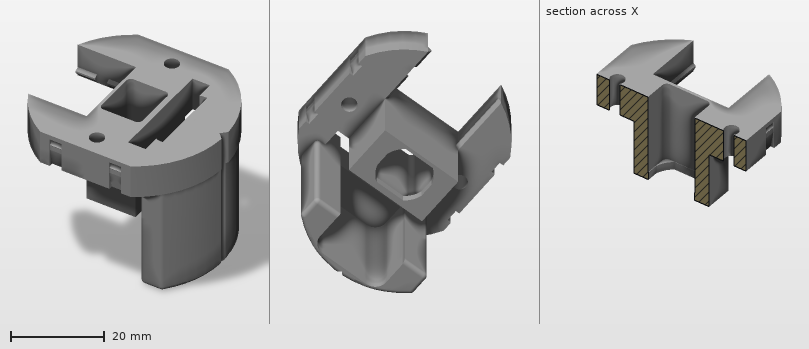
import cadquery as cq
import math

plate_radius = 22.835
plate_width = 39.6
plate_thickness = 8.3
screw_hole_diameter = 3.5
screw_hole_offset = 15.1

opening_half_width = 10.0
opening_end_x = -5.85
opening_mouth_x = -math.sqrt(plate_radius ** 2 - opening_half_width ** 2)

block_right_x = 6.5
block_drop = 14.0
pocket_length = 10.3
pocket_width = 12.25
pocket_corner_radius = 1.15
pocket_floor = 2.0
window_radius = 6.25
window_rim = 0.1

overall_height = 34.85
leg_drop = overall_height - plate_thickness
leg_left_x = 10.9
leg_radius = 22.38
leg_width = 30.6
leg_edge_radius = 1.0

recess_front_x = 9.1
recess_back_x = 20.5
recess_width = 18.0
recess_corner_radius = 3.0

slot_width = 26.0
slot_step_x = 12.7

notch_tip_x = 21.4

groove_inner_x = 6.0
groove_width = 3.0
groove_top_drop = 1.15
groove_mid_drop = 1.9
groove_mid_depth = 0.6
hollow_end_drop = 2.75
hollow_end_depth = 0.15
lip_top_drop = 2.9
lip_bottom_drop = 4.1
lip_depth = 0.2
groove_bottom_depth = 0.95

ridge_top_z = 2.25
ridge_peak_top_z = 1.75
ridge_peak_bottom_z = 1.3
ridge_bottom_z = 0.2
ridge_height_front = 0.6
ridge_height_back = 0.9
ridge_gap_start_x = -15.65
ridge_gap_end_x = -12.65


def box(x_min, x_max, width, z_min, z_max):
    """Box centred on the XZ plane."""
    size_x = x_max - x_min
    size_z = z_max - z_min
    return (
        cq.Workplane("XY")
        .box(size_x, width, size_z, centered=(False, True, False))
        .translate((x_min, 0, z_min))
    )


def make_recess(z_min, z_max):
    recess = box(recess_front_x, recess_back_x, recess_width, z_min, z_max)
    return recess.edges("|Z").fillet(recess_corner_radius)


def make_plate():
    disc = cq.Workplane("XY").circle(plate_radius).extrude(plate_thickness)
    plate = disc.intersect(box(-plate_radius, plate_radius, plate_width, 0, plate_thickness))
    screw_holes = (
        cq.Workplane("XY")
        .pushPoints([(0, screw_hole_offset), (0, -screw_hole_offset)])
        .circle(screw_hole_diameter / 2)
        .extrude(plate_thickness)
    )
    opening = box(-plate_radius, opening_end_x, 2 * opening_half_width, 0, plate_thickness)
    slot = box(block_right_x, leg_left_x, slot_width, 0, plate_thickness)
    slot_step = make_recess(0, plate_thickness)
    slot_step = slot_step.intersect(box(leg_left_x, slot_step_x, recess_width, 0, plate_thickness))
    return plate.cut(screw_holes).cut(opening).cut(slot).cut(slot_step)


def make_block():
    return box(opening_end_x, block_right_x, 2 * opening_half_width, -block_drop, 0)


def make_pocket():
    """Rounded pocket from the plate top, with the window through its floor."""
    floor_z = -block_drop + pocket_floor
    half_length = pocket_length / 2
    pocket = box(-half_length, half_length, pocket_width, floor_z, plate_thickness)
    pocket = pocket.edges("|Z").fillet(pocket_corner_radius)
    window = cq.Workplane("XY").workplane(offset=-block_drop).circle(window_radius).extrude(pocket_floor)
    window_half_length = half_length - window_rim
    window_width = pocket_width - 2 * window_rim
    window_limit = box(-window_half_length, window_half_length, window_width, -block_drop, floor_z)
    window = window.intersect(window_limit)
    return pocket.union(window)


def make_leg():
    leg = cq.Workplane("XY").workplane(offset=-leg_drop).circle(leg_radius).extrude(leg_drop)
    leg = leg.intersect(box(leg_left_x, leg_radius, leg_width, -leg_drop, 0))
    leg = leg.edges("|Z").fillet(leg_edge_radius)
    leg = leg.faces("<Z").edges().fillet(leg_edge_radius)
    return leg.cut(make_recess(-leg_drop, 0))


def make_notch():
    """Right-angled V through the whole height of plate and leg."""
    reach = plate_radius - notch_tip_x
    return (
        cq.Workplane("XY")
        .workplane(offset=-leg_drop)
        .moveTo(notch_tip_x, 0)
        .lineTo(notch_tip_x + reach, reach)
        .lineTo(notch_tip_x + reach, -reach)
        .close()
        .extrude(overall_height)
    )


def make_groove(x_start):
    """Snap groove in the -Y flat: a round hollow, a lip, then a ramp that deepens downward."""
    flat_y = -plate_width / 2
    return (
        cq.Workplane("YZ")
        .workplane(offset=x_start)
        .moveTo(flat_y, plate_thickness - groove_top_drop)
        .threePointArc(
            (flat_y + groove_mid_depth, plate_thickness - groove_mid_drop),
            (flat_y + hollow_end_depth, plate_thickness - hollow_end_drop),
        )
        .lineTo(flat_y + lip_depth, plate_thickness - lip_top_drop)
        .lineTo(flat_y + lip_depth, plate_thickness - lip_bottom_drop)
        .lineTo(flat_y + groove_bottom_depth, 0)
        .lineTo(flat_y, 0)
        .close()
        .extrude(groove_width)
    )


def make_ridge(x_start, x_end, side, height):
    """Snap ridge on an opening wall; side is +1 for the +Y wall and -1 for the -Y wall."""
    wall_y = side * opening_half_width
    peak_y = side * (opening_half_width - height)
    return (
        cq.Workplane("YZ")
        .workplane(offset=x_start)
        .moveTo(wall_y, ridge_top_z)
        .lineTo(peak_y, ridge_peak_top_z)
        .lineTo(peak_y, ridge_peak_bottom_z)
        .lineTo(wall_y, ridge_bottom_z)
        .close()
        .extrude(x_end - x_start)
    )


result = make_plate().union(make_block()).union(make_leg())
result = result.cut(make_pocket()).cut(make_notch())

for groove_x in (-groove_inner_x - groove_width, groove_inner_x):
    groove = make_groove(groove_x)
    result = result.cut(groove).cut(groove.mirror("XZ"))

result = result.union(make_ridge(opening_mouth_x, opening_end_x, -1, ridge_height_front))
result = result.union(make_ridge(opening_mouth_x, ridge_gap_start_x, 1, ridge_height_back))
result = result.union(make_ridge(ridge_gap_end_x, opening_end_x, 1, ridge_height_back))